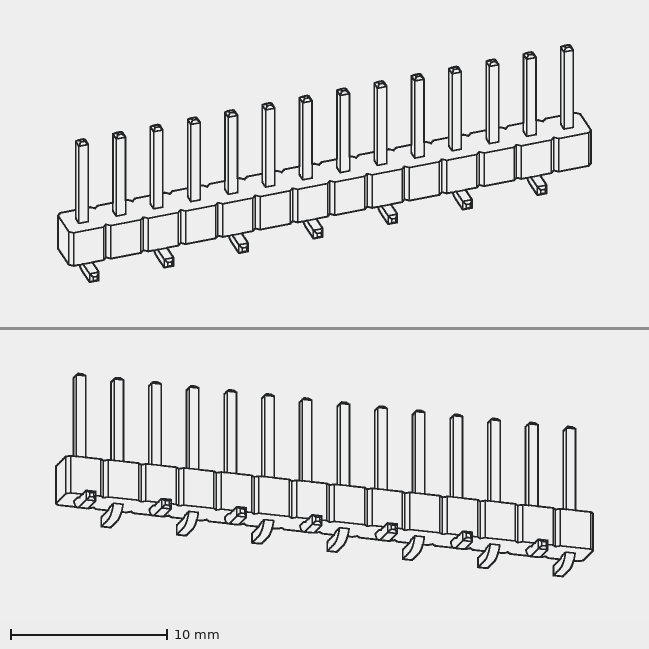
import cadquery as cq

row_length = 35.55
pin_count = 14
pitch = row_length / pin_count

housing_width = 2.52
housing_bottom = 0.75
housing_height = 2.52
corner_chamfer = 0.25

pin_side = 0.65
pin_top = 9.3
foot_span = 5.0
bend_outer_radius = 1.28
tip_chamfer = 0.18

half_pin = pin_side / 2
foot_reach = foot_span / 2


def housing_cell(y):
    """One square cell of the housing with its four upright edges chamfered."""
    return (
        cq.Workplane("XY", origin=(0, y, housing_bottom))
        .rect(housing_width, pitch)
        .extrude(housing_height)
        .edges("|Z")
        .chamfer(corner_chamfer)
    )


def pin_wire():
    """L-shaped wire centred on Y = 0, its foot pointing toward -X, with plain ends."""
    bend_x = half_pin - bend_outer_radius
    bend_z = bend_outer_radius
    inner_radius = bend_outer_radius - pin_side
    diagonal = 0.5 ** 0.5
    outer_mid = (bend_x + bend_outer_radius * diagonal, bend_z - bend_outer_radius * diagonal)
    inner_mid = (bend_x + inner_radius * diagonal, bend_z - inner_radius * diagonal)
    return (
        cq.Workplane("XZ")
        .moveTo(half_pin, pin_top)
        .lineTo(half_pin, bend_z)
        .threePointArc(outer_mid, (bend_x, 0))
        .lineTo(-foot_reach, 0)
        .lineTo(-foot_reach, pin_side)
        .lineTo(bend_x, pin_side)
        .threePointArc(inner_mid, (-half_pin, bend_z))
        .lineTo(-half_pin, pin_top)
        .close()
        .extrude(half_pin, both=True)
    )


def pin():
    """Bent pin with both wire ends chamfered on all four sides."""
    wire = pin_wire()
    for end_face in (">Z", "<X"):
        wire = wire.faces(end_face).chamfer(tip_chamfer)
    return wire


left_pin = pin()
right_pin = left_pin.mirror("YZ")

result = cq.Workplane("XY")
for index in range(pin_count):
    y = (index + 0.5) * pitch - row_length / 2
    cell_pin = right_pin if index % 2 == 0 else left_pin
    result = result.union(housing_cell(y)).union(cell_pin.translate((0, y, 0)))